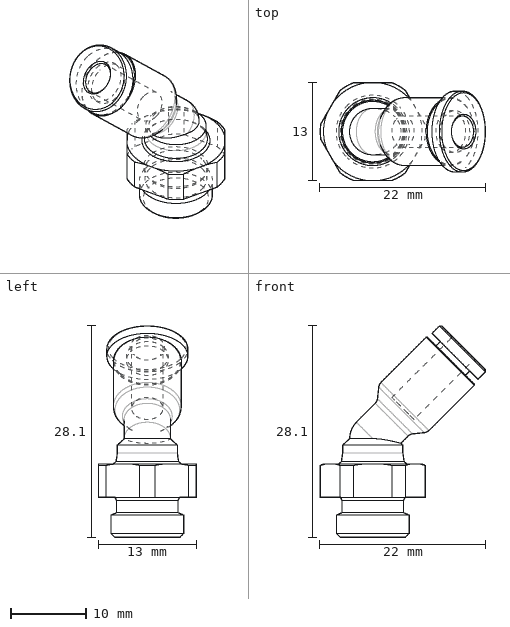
import cadquery as cq
import math

thread_radius = 4.85
thread_chamfer = 0.53
thread_top = 2.95
groove_radius = 4.1
groove_bottom = 3.28
groove_top = 4.88
hex_seat_radius = 4.3

hex_sides = 6
hex_across_flats = 13.0
hex_corner_radius = 7.0
hex_bottom = 5.3
hex_height = 4.45
hex_top = hex_bottom + hex_height
bevel_face_radius = 6.55
bevel_height = 0.22

collar_base_radius = 4.52
collar_foot_radius = 4.18
collar_foot_top = 10.05
collar_radius = 4.0
collar_taper_top = 11.22
collar_shoulder = 12.23

elbow_height = 13.1
elbow_angle = 45.0
arm_radius = 3.1
cone_start = 3.9
cone_end = 5.67
cone_fillet = 1.0
socket_radius = 4.52
socket_end = 14.65
socket_chamfer = 0.1

neck_radius = 2.78
rim_start = 15.43
rim_end = 17.05
rim_long_radius = 5.4
rim_short_radius = 4.32
rim_chamfer = 0.22

bore_radius = 2.08
bore_chamfer = 0.22
bore_bottom = cone_end


def turned(profile):
    """Solid of revolution about Z from (radius, height) points."""
    return cq.Workplane("XZ").polyline(profile).close().revolve(360, (0, 0), (0, 1))


def make_stem():
    return turned([
        (0, 0),
        (thread_radius - thread_chamfer, 0),
        (thread_radius, thread_chamfer),
        (thread_radius, thread_top),
        (groove_radius, groove_bottom),
        (groove_radius, groove_top),
        (hex_seat_radius, hex_bottom),
        (hex_seat_radius, hex_top),
        (collar_base_radius, hex_top),
        (collar_foot_radius, collar_foot_top),
        (collar_radius, collar_taper_top),
        (collar_radius, collar_shoulder),
        (arm_radius, elbow_height),
        (0, elbow_height),
    ])


def make_hexagon():
    """Hexagonal prism with its corners turned down and its top edge bevelled."""
    across_corners = hex_across_flats / math.cos(math.pi / hex_sides)
    prism = (
        cq.Workplane("XY")
        .workplane(offset=hex_bottom)
        .polygon(hex_sides, across_corners)
        .extrude(hex_height)
    )
    envelope = turned([
        (0, hex_bottom),
        (hex_corner_radius, hex_bottom),
        (hex_corner_radius, hex_top - bevel_height),
        (bevel_face_radius, hex_top),
        (0, hex_top),
    ])
    return prism.intersect(envelope)


def make_socket():
    """Tube that widens through a blended cone into the socket; built upright on the origin."""
    socket = turned([
        (0, 0),
        (arm_radius, 0),
        (arm_radius, cone_start),
        (socket_radius, cone_end),
        (socket_radius, socket_end),
        (0, socket_end),
    ])
    margin = 0.03
    reach = socket_radius + margin
    cone_edges = cq.selectors.BoxSelector(
        (-reach, -reach, cone_start - margin),
        (reach, reach, cone_end + margin),
    )
    return socket.edges("%CIRCLE").edges(cone_edges).fillet(cone_fillet).faces(">Z").chamfer(socket_chamfer)


def make_sleeve():
    neck = (
        cq.Workplane("XY")
        .workplane(offset=socket_end)
        .circle(neck_radius)
        .extrude(rim_start - socket_end)
    )
    rim = (
        cq.Workplane("XY")
        .workplane(offset=rim_start)
        .ellipse(rim_short_radius, rim_long_radius)
        .extrude(rim_end - rim_start)
        .faces(">Z")
        .chamfer(rim_chamfer)
    )
    return neck.union(rim)


def make_bore():
    return turned([
        (0, bore_bottom),
        (bore_radius, bore_bottom),
        (bore_radius, rim_end - bore_chamfer),
        (bore_radius + bore_chamfer, rim_end),
        (0, rim_end),
    ])


def make_arm():
    """Socket and bored sleeve, tilted about the elbow centre."""
    upright = make_socket().union(make_sleeve()).cut(make_bore())
    return upright.rotate((0, 0, 0), (0, 1, 0), elbow_angle).translate((0, 0, elbow_height))


def make_elbow():
    """Ball that rounds the bend between the stem and the arm."""
    return cq.Workplane("XY").sphere(arm_radius).translate((0, 0, elbow_height))


result = make_stem().union(make_hexagon()).union(make_elbow()).union(make_arm())